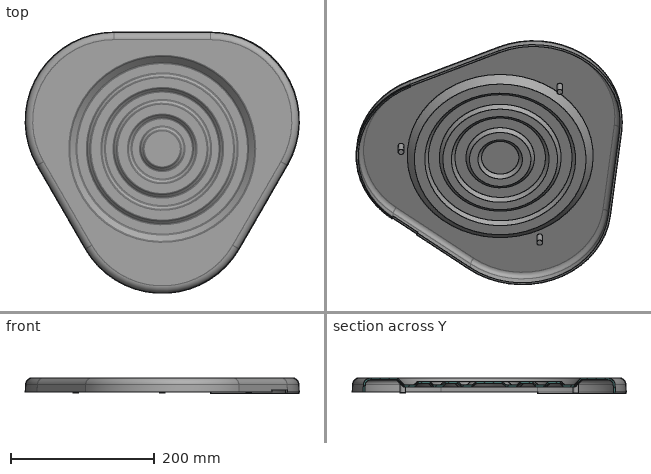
import cadquery as cq
import math

WIDTH = 382
LOBE_RADIUS = 123.7
LOBE_SPACING = WIDTH - 2 * LOBE_RADIUS
LOBE_DISTANCE = LOBE_SPACING / math.sqrt(3)
LOBE_ANGLES = (30, 150, 270)
HALF_ARC = 60
HEIGHT = 20.0
DRAFT = 3
TOP_FILLET = 10.0
WALL = 3.0

FLOOR_DEPTH = 10.0
RING_RISE = 5.0
BOWL_FLOOR_RADIUS = 119.5
BOSS_FOOT_RADIUS = 31.0
GROOVE_WIDTH = 12.0
RING_FOOT_WIDTH = 25.2
RING_COUNT = 2
CORNER_FILLET = 2.0

FOOT_DISTANCE = 139.0
FOOT_DIAMETER = 8.0
FOOT_DROP = 1.0
LIP_DROP = 2.15
LIP_INSET = 0.8
LIP_LOBE_ANGLE = 30
NOTCH_LENGTH = 42.8
NOTCH_HEIGHT = 2.5
NOTCH_DEPTH = 2 * WALL


def polar(radius, angle):
    """Point at a distance and an angle in degrees from the plate centre."""
    turn = math.radians(angle)
    return radius * math.cos(turn), radius * math.sin(turn)


def lobed_block(inset, height, fillet):
    """Drafted block whose outline lies inside the plate outline by the inset."""
    radius = LOBE_RADIUS - inset

    def on_lobe(lobe_angle, angle):
        centre_x, centre_y = polar(LOBE_DISTANCE, lobe_angle)
        x, y = polar(radius, angle)
        return centre_x + x, centre_y + y

    outline = cq.Workplane("XY").moveTo(*on_lobe(LOBE_ANGLES[-1], LOBE_ANGLES[-1] + HALF_ARC))
    for angle in LOBE_ANGLES:
        outline = outline.lineTo(*on_lobe(angle, angle - HALF_ARC))
        outline = outline.threePointArc(on_lobe(angle, angle), on_lobe(angle, angle + HALF_ARC))
    return outline.close().extrude(height, taper=DRAFT).faces(">Z").edges().fillet(fillet)


def bowl(drop):
    """Solid filling the bowl, lowered by the drop and open at the top."""
    top = HEIGHT - drop
    floor = top - FLOOR_DEPTH
    crest = floor + RING_RISE
    profile = cq.Workplane("XZ").moveTo(0, top).lineTo(0, crest)
    profile = profile.lineTo(BOSS_FOOT_RADIUS - RING_RISE, crest).lineTo(BOSS_FOOT_RADIUS, floor)
    for ring in range(RING_COUNT):
        inner_foot = BOSS_FOOT_RADIUS + GROOVE_WIDTH + ring * (RING_FOOT_WIDTH + GROOVE_WIDTH)
        outer_foot = inner_foot + RING_FOOT_WIDTH
        profile = profile.lineTo(inner_foot, floor).lineTo(inner_foot + RING_RISE, crest)
        profile = profile.lineTo(outer_foot - RING_RISE, crest).lineTo(outer_foot, floor)
    profile = profile.lineTo(BOWL_FLOOR_RADIUS, floor).lineTo(BOWL_FLOOR_RADIUS + FLOOR_DEPTH, top)
    return profile.close().revolve(360, (0, 0), (0, 1))


def feet():
    """Pegs hanging from the roof of the shell, one in each lobe."""
    places = [polar(FOOT_DISTANCE, angle) for angle in LOBE_ANGLES]
    roof = HEIGHT - WALL / 2
    pegs = cq.Workplane("XY").workplane(offset=-FOOT_DROP).pushPoints(places)
    return pegs.circle(FOOT_DIAMETER / 2).extrude(roof + FOOT_DROP)


def lip():
    """Rim below the outer wall, following the arc of one lobe."""
    inner = LOBE_RADIUS - WALL
    outer = LOBE_RADIUS - LIP_INSET
    section = cq.Workplane("XZ").moveTo(inner, -LIP_DROP).lineTo(outer, -LIP_DROP)
    section = section.lineTo(outer, 0).lineTo(inner, 0)
    arc = section.close().revolve(2 * HALF_ARC, (0, 0), (0, 1))
    arc = arc.rotate((0, 0, 0), (0, 0, 1), LIP_LOBE_ANGLE - HALF_ARC)
    return arc.translate((*polar(LOBE_DISTANCE, LIP_LOBE_ANGLE), 0))


def notch():
    """Opening in the lower edge of the straight wall, ending where the lip begins."""
    wall_angle = LIP_LOBE_ANGLE - HALF_ARC
    wall_distance = LOBE_RADIUS + LOBE_DISTANCE / 2
    block = cq.Workplane("XY").box(NOTCH_DEPTH, NOTCH_LENGTH, NOTCH_HEIGHT, centered=(True, False, False))
    block = block.translate((wall_distance - WALL / 2, LOBE_SPACING / 2 - NOTCH_LENGTH, 0))
    return block.rotate((0, 0, 0), (0, 0, 1), wall_angle)


plate = lobed_block(0, HEIGHT, TOP_FILLET).cut(bowl(0))
axis_box = cq.selectors.BoxSelector((-WALL, -WALL, 0), (WALL, WALL, 2 * HEIGHT))
plate = plate.edges(axis_box).fillet(CORNER_FILLET)
cavity = lobed_block(WALL, HEIGHT - WALL, TOP_FILLET - WALL)
cavity = cavity.cut(bowl(WALL))
result = plate.cut(cavity).cut(notch()).union(lip()).union(feet())